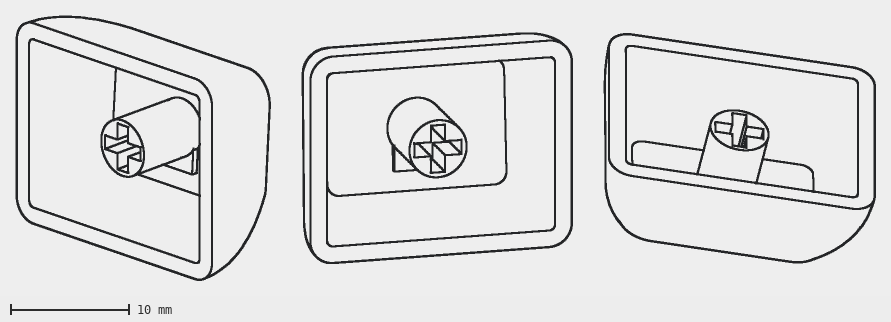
import cadquery as cq
import math


RIM_WIDTH = 22.85
RIM_HEIGHT = 18.1
RIM_RADIUS = 2.0
BACK_INSET = 2.7
BACK_RADIUS = 2.75
BACK_TOP_Y = 10.01
BACK_BOTTOM_Y = 9.2
SECTIONS = 5

WALL = 1.46
CAVITY_INSET = 3.05
FLOOR_THICKNESS = 1.5

STEM_DIAMETER = 5.0
STEM_RECESS = 1.0
CROSS_SPAN = 4.14
CROSS_ARM = 1.23
SOCKET_DEPTH = 4.0

INSERT_WIDTH = CROSS_SPAN
INSERT_TOP_Z = -0.11
INSERT_BOTTOM_Z = -3.7
INSERT_PROUD = 0.35
INSERT_INNER_PROUD = 0.55

BACK_HEIGHT = RIM_HEIGHT - 2 * BACK_INSET
BACK_SLOPE = (BACK_TOP_Y - BACK_BOTTOM_Y) / BACK_HEIGHT
BACK_TILT = math.degrees(math.atan(BACK_SLOPE))
BACK_MIDDLE_Y = (BACK_TOP_Y + BACK_BOTTOM_Y) / 2


def tilted_plane(y, tilt):
    """Plane through (0, y, 0) facing +Y, whose upper edge leans towards +Y by tilt degrees."""
    angle = math.radians(tilt)
    return cq.Plane(origin=(0, y, 0), xDir=(-1, 0, 0), normal=(0, math.cos(angle), -math.sin(angle)))


def section(fraction, margin, back_inset):
    """Rounded rectangle at a fraction of the way to the back, set inside the rim outline by margin."""
    inset = margin + back_inset * fraction**2
    slope = BACK_SLOPE * fraction
    tilt = math.degrees(math.atan(slope))
    width = RIM_WIDTH - 2 * inset
    height = (RIM_HEIGHT - 2 * inset) * math.hypot(1, slope)
    radius = RIM_RADIUS + (BACK_RADIUS - RIM_RADIUS) * fraction**2 - margin
    outline = cq.Sketch().rect(width, height).vertices().fillet(radius)
    plane = tilted_plane(BACK_MIDDLE_Y * fraction, tilt)
    return outline.moved(plane.location).faces().val().outerWire()


def skin(margin, back_inset):
    """Solid that starts inside the rim outline by margin and narrows by back_inset on each side."""
    wires = [section(i / (SECTIONS - 1), margin, back_inset) for i in range(SECTIONS)]
    return cq.Workplane(cq.Solid.makeLoft(wires))


def space_in_front_of_floor():
    """Block that ends at the sloped inner floor."""
    floor_plane = tilted_plane(BACK_MIDDLE_Y - FLOOR_THICKNESS, BACK_TILT)
    return cq.Workplane(floor_plane).rect(2 * RIM_WIDTH, 2 * RIM_HEIGHT).extrude(-2 * BACK_TOP_Y)


def make_stem():
    """Round stem that runs back into the floor, with a blind cross socket in its end."""
    end = cq.Workplane("XZ", origin=(0, STEM_RECESS, 0))
    length = BACK_MIDDLE_Y - FLOOR_THICKNESS / 2 - STEM_RECESS
    stem = end.circle(STEM_DIAMETER / 2).extrude(-length)
    upright = end.rect(CROSS_ARM, CROSS_SPAN).extrude(-SOCKET_DEPTH)
    crossbar = end.rect(CROSS_SPAN, CROSS_ARM).extrude(-SOCKET_DEPTH)
    return stem.cut(upright).cut(crossbar)


def make_insert():
    """Rectangular block square to the sloped back, standing out on both sides of the floor."""
    middle_z = (INSERT_TOP_Z + INSERT_BOTTOM_Z) / 2
    height = INSERT_TOP_Z - INSERT_BOTTOM_Z
    depth = INSERT_PROUD + FLOOR_THICKNESS + INSERT_INNER_PROUD
    outer_end = cq.Workplane(tilted_plane(BACK_MIDDLE_Y, BACK_TILT)).workplane(offset=INSERT_PROUD)
    return outer_end.center(0, middle_z).rect(INSERT_WIDTH, height).extrude(-depth)


insert = make_insert()
cavity = skin(WALL, CAVITY_INSET).intersect(space_in_front_of_floor())
cap = skin(0, BACK_INSET).cut(cavity).union(make_stem()).cut(insert)

result = cq.Compound.makeCompound([cap.val(), insert.val()])